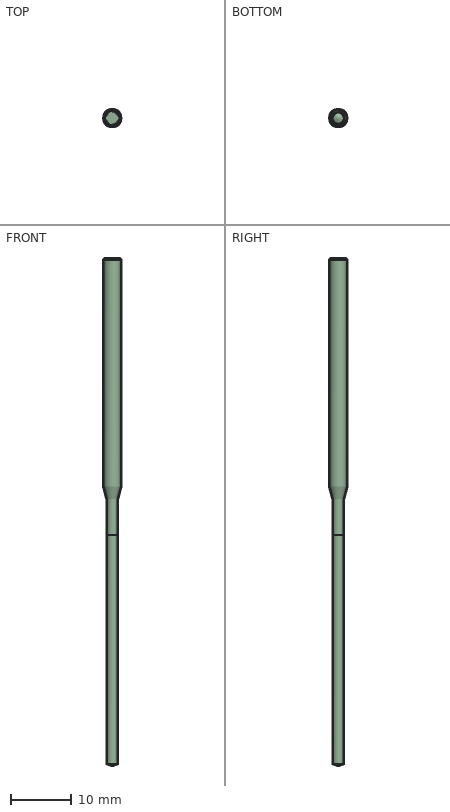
import cadquery as cq
import math

body_length = 84.0
shank_diameter = 3.0
shank_length = 38.0
shank_chamfer = 0.3
drill_diameter = 1.9
cutting_length = 38.0
point_angle = 140.0
taper_half_angle = 15.0

shank_radius = shank_diameter / 2
drill_radius = drill_diameter / 2
point_height = drill_radius / math.tan(math.radians(point_angle / 2))
taper_length = (shank_radius - drill_radius) / math.tan(math.radians(taper_half_angle))
joint_height = point_height + cutting_length
shank_top = point_height + body_length
shank_bottom = shank_top - shank_length
taper_bottom = shank_bottom - taper_length


def turned(profile):
    """Revolve a closed (radius, height) outline about Z, starting on the -Y side."""
    outline = [(-radius, height) for radius, height in profile]
    return cq.Workplane("YZ").polyline(outline).close().revolve(360, (0, 0), (0, 1))


holder = turned([
    (0, joint_height),
    (drill_radius, joint_height),
    (drill_radius, taper_bottom),
    (shank_radius, shank_bottom),
    (shank_radius, shank_top - shank_chamfer),
    (shank_radius - shank_chamfer, shank_top),
    (0, shank_top),
])

cutting_part = turned([
    (0, 0),
    (drill_radius, point_height),
    (drill_radius, joint_height),
    (0, joint_height),
])

result = cq.Compound.makeCompound([holder.val(), cutting_part.val()])